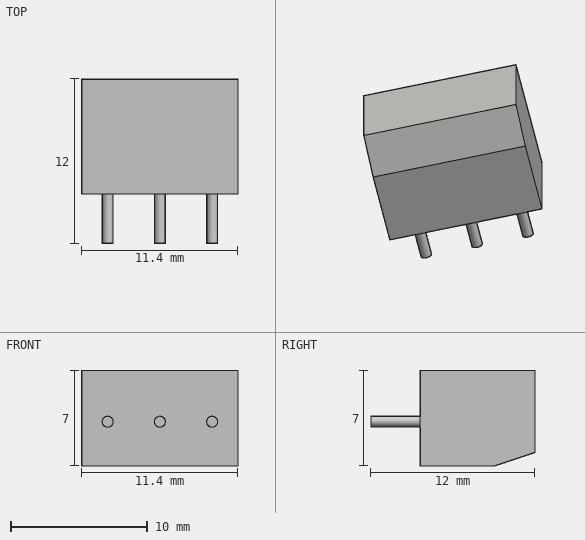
import cadquery as cq

body_width = 11.42
body_depth = 8.4
body_height = 7.0
bevel_depth = 3.0
bevel_height = 1.0

pin_count = 3
pin_pitch = 3.82
pin_diameter = 0.8
pin_length = 3.6
pin_axis_height = 3.25


def make_body():
    """Side profile in the YZ plane, front face at Y = 0, centred on X."""
    profile = [
        (0, 0),
        (body_depth - bevel_depth, 0),
        (body_depth, bevel_height),
        (body_depth, body_height),
        (0, body_height),
    ]
    return cq.Workplane("YZ").polyline(profile).close().extrude(body_width / 2, both=True)


def make_pins():
    """Row of pins running from the front face toward -Y."""
    return (
        cq.Workplane("XZ", origin=(0, 0, pin_axis_height))
        .rarray(pin_pitch, 0.12, pin_count, 1)
        .circle(pin_diameter / 2)
        .extrude(pin_length)
    )


result = make_body().union(make_pins())